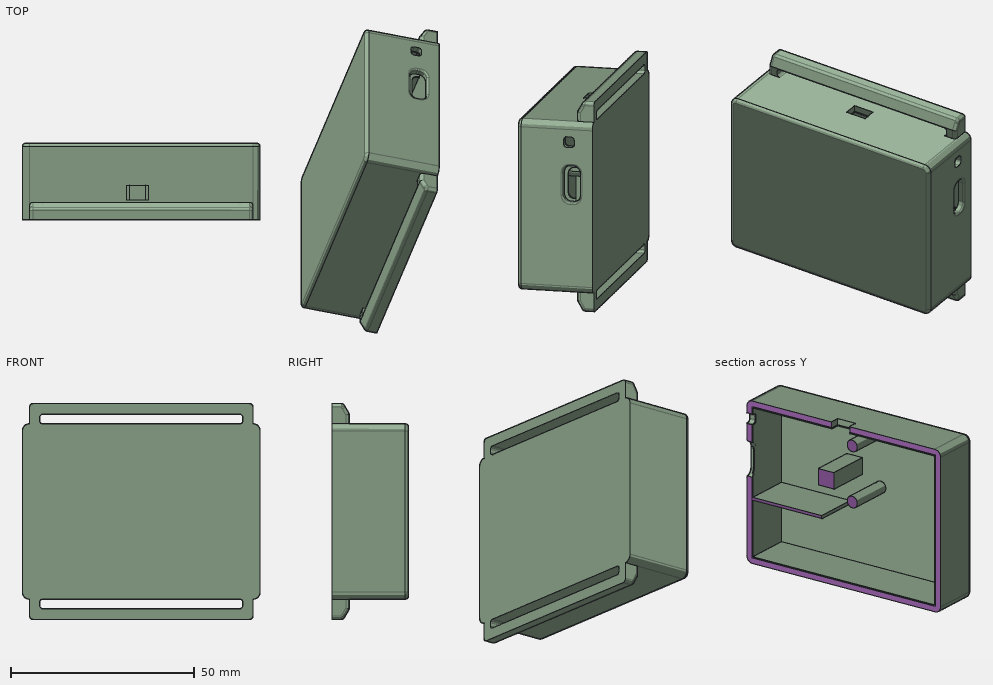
import cadquery as cq
import math

WIDTH = 65.0
DEPTH = 21.0
TOTAL_HEIGHT = 59.0
BOX_HEIGHT = 48.0
CORNER_RADIUS = 1.95
BACK_ROUNDING = 1.0
WALL = 1.8
INNER_WIDTH = WIDTH - 2 * WALL
INNER_HEIGHT = BOX_HEIGHT - 2 * WALL
COVER_Y = DEPTH - BACK_ROUNDING

TAB_WIDTH = WIDTH - 2 * CORNER_RADIUS
TAB_DEPTH = 4.8
TAB_FLAT_RISE = 2.65
TAB_SLOPE = 60.0
TAB_ROUNDING = 1.0
STRAP_SLOT_WIDTH = 55.4
STRAP_SLOT_HEIGHT = 2.55
STRAP_SLOT_RADIUS = 0.8

PORT_Y = 5.85
PORT_Z = 6.6
PORT_WIDTH = 4.75
PORT_HEIGHT = 10.3
PORT_RADIUS = 2.0
PORT_ROUNDING = 0.5
LIP_PORT_Y = 5.45
LIP_PORT_WIDTH = 3.5
LIP_PORT_HEIGHT = 8.7
LIP_PORT_RADIUS = 1.7
HOLE_SIZE = 3.0
HOLE_RADIUS = 1.0
HOLE_Y = 6.55
HOLE_Z = 18.45

WINDOW_X = -1.05
WINDOW_Y = 7.5
WINDOW_WIDTH = 6.0
WINDOW_DEPTH = 3.95

SELECT_MARGIN = 0.05

LIP_THICKNESS = 0.3
LIP_END_Y = 5.1
POST_DIAMETER = 3.5
POST_X = 2.85
POST_Z = (HOLE_Z, 1.95)
BLOCK_LENGTH = 5.2
BLOCK_END_X = -3.25
BLOCK_END_Y = 4.6
BLOCK_Z = 6.75
BLOCK_HEIGHT = 4.95
SHELF_LENGTH = 23.4
SHELF_TOP_Z = -4.35
SHELF_THICKNESS = 1.0


def box_between(x_range, y_range, z_range):
    """Box given by its two limits along each axis."""
    limits = (x_range, y_range, z_range)
    sizes = [high - low for low, high in limits]
    corner = tuple(low for low, _ in limits)
    return cq.Workplane().box(*sizes, centered=False).translate(corner)


def centered_box(width, height, y_start, y_end):
    """Box centred on the Y axis."""
    return box_between((-width / 2, width / 2), (y_start, y_end), (-height / 2, height / 2))


def rounded_bar_along_x(width, height, radius, y_center, z_center, x_range):
    """Bar along X with a rounded rectangular section."""
    bar = box_between(
        x_range,
        (y_center - width / 2, y_center + width / 2),
        (z_center - height / 2, z_center + height / 2),
    )
    return bar.edges("|X").fillet(radius)


def outer_box():
    """Full outside shape of the closed case, without the tabs."""
    box = centered_box(WIDTH, BOX_HEIGHT, 0, DEPTH)
    return box.edges("|Y").fillet(CORNER_RADIUS).faces(">Y").edges().fillet(BACK_ROUNDING)


def upper_tab():
    """Tab with a sloped back, rounded outer edges and a strap slot."""
    box_top = BOX_HEIGHT / 2
    tab_top = TOTAL_HEIGHT / 2
    slope_start_z = box_top + TAB_FLAT_RISE
    slope_end_y = TAB_DEPTH - (tab_top - slope_start_z) / math.tan(math.radians(TAB_SLOPE))
    root_z = box_top - WALL
    tab = (
        cq.Workplane("YZ")
        .moveTo(0, root_z)
        .lineTo(TAB_DEPTH, root_z)
        .lineTo(TAB_DEPTH, slope_start_z)
        .lineTo(slope_end_y, tab_top)
        .lineTo(0, tab_top)
        .close()
        .extrude(TAB_WIDTH / 2, both=True)
    )
    tab = tab.faces(">Z").edges("|Y").fillet(TAB_ROUNDING)
    around_slope = cq.selectors.BoxSelector(
        (-TAB_WIDTH, slope_end_y - SELECT_MARGIN, slope_start_z + SELECT_MARGIN),
        (TAB_WIDTH, DEPTH, TOTAL_HEIGHT),
    )
    back_uprights = cq.StringSyntaxSelector(">Y and |Z")
    tab = tab.edges(around_slope + back_uprights).fillet(TAB_ROUNDING)
    return tab.cut(strap_slot())


def strap_slot():
    """Slot through the upper tab, level with the top of the box."""
    half_width = STRAP_SLOT_WIDTH / 2
    box_top = BOX_HEIGHT / 2
    slot = box_between(
        (-half_width, half_width), (0, TAB_DEPTH), (box_top, box_top + STRAP_SLOT_HEIGHT)
    )
    return slot.edges("|Y").fillet(STRAP_SLOT_RADIUS)


def port_opening():
    """Connector opening through the -X wall."""
    outer_face = -WIDTH / 2
    x_range = (outer_face, outer_face + WALL)
    return rounded_bar_along_x(PORT_WIDTH, PORT_HEIGHT, PORT_RADIUS, PORT_Y, PORT_Z, x_range)


def side_hole():
    """Square hole with rounded corners through the -X wall and the lip behind it."""
    outer_face = -WIDTH / 2
    x_range = (outer_face, outer_face + WALL + LIP_THICKNESS)
    return rounded_bar_along_x(HOLE_SIZE, HOLE_SIZE, HOLE_RADIUS, HOLE_Y, HOLE_Z, x_range)


def top_window():
    """Rectangular opening through the +Z wall and the lip behind it."""
    box_top = BOX_HEIGHT / 2
    return box_between(
        (WINDOW_X - WINDOW_WIDTH / 2, WINDOW_X + WINDOW_WIDTH / 2),
        (WINDOW_Y - WINDOW_DEPTH / 2, WINDOW_Y + WINDOW_DEPTH / 2),
        (box_top - WALL - LIP_THICKNESS, box_top),
    )


def make_housing():
    """Front plate with strap tabs, side walls and a pad under the cover's block, open at the back."""
    cavity = centered_box(INNER_WIDTH, INNER_HEIGHT, WALL, COVER_Y)
    housing = outer_box().intersect(centered_box(WIDTH, BOX_HEIGHT, 0, COVER_Y)).cut(cavity)

    housing = housing.cut(port_opening())
    rim = cq.selectors.BoxSelector(
        (-WIDTH / 2 - SELECT_MARGIN, PORT_Y - PORT_WIDTH, PORT_Z - PORT_HEIGHT),
        (-WIDTH / 2 + SELECT_MARGIN, PORT_Y + PORT_WIDTH, PORT_Z + PORT_HEIGHT),
    )
    housing = housing.edges(rim).fillet(PORT_ROUNDING)

    housing = housing.cut(side_hole()).cut(top_window())
    housing = housing.union(inner_block(WALL, BLOCK_END_Y))
    tab = upper_tab()
    return housing.union(tab).union(tab.mirror("XY"))


def cover_lip():
    """Thin frame that lines the inside of the housing walls, with its openings."""
    outside = centered_box(INNER_WIDTH, INNER_HEIGHT, LIP_END_Y, COVER_Y)
    inside = centered_box(
        INNER_WIDTH - 2 * LIP_THICKNESS, INNER_HEIGHT - 2 * LIP_THICKNESS, LIP_END_Y, COVER_Y
    )
    lip_face = -INNER_WIDTH / 2
    port = rounded_bar_along_x(
        LIP_PORT_WIDTH,
        LIP_PORT_HEIGHT,
        LIP_PORT_RADIUS,
        LIP_PORT_Y,
        PORT_Z,
        (lip_face, lip_face + LIP_THICKNESS),
    )
    return outside.cut(inside).cut(port).cut(side_hole()).cut(top_window())


def cover_post(z):
    """Round post standing on the inside of the cover."""
    length = COVER_Y - LIP_END_Y
    post = cq.Workplane("XZ", origin=(POST_X, COVER_Y, z))
    return post.circle(POST_DIAMETER / 2).extrude(length)


def inner_block(y_start, y_end):
    """Rectangular support block level with the port."""
    return box_between(
        (BLOCK_END_X - BLOCK_LENGTH, BLOCK_END_X),
        (y_start, y_end),
        (BLOCK_Z - BLOCK_HEIGHT / 2, BLOCK_Z + BLOCK_HEIGHT / 2),
    )


def cover_shelf():
    """Flat rib below the port, running inwards from the lip."""
    lip_face = -INNER_WIDTH / 2
    return box_between(
        (lip_face, lip_face + SHELF_LENGTH),
        (LIP_END_Y, COVER_Y),
        (SHELF_TOP_Z - SHELF_THICKNESS, SHELF_TOP_Z),
    )


def make_cover():
    """Back plate with rounded edges that carries the lip and the inner supports."""
    cover = outer_box().intersect(centered_box(WIDTH, BOX_HEIGHT, COVER_Y, DEPTH))
    cover = cover.union(cover_lip()).union(inner_block(BLOCK_END_Y, COVER_Y)).union(cover_shelf())
    for z in POST_Z:
        cover = cover.union(cover_post(z))
    return cover


housing = make_housing()
cover = make_cover()
result = cq.Compound.makeCompound([housing.val(), cover.val()])